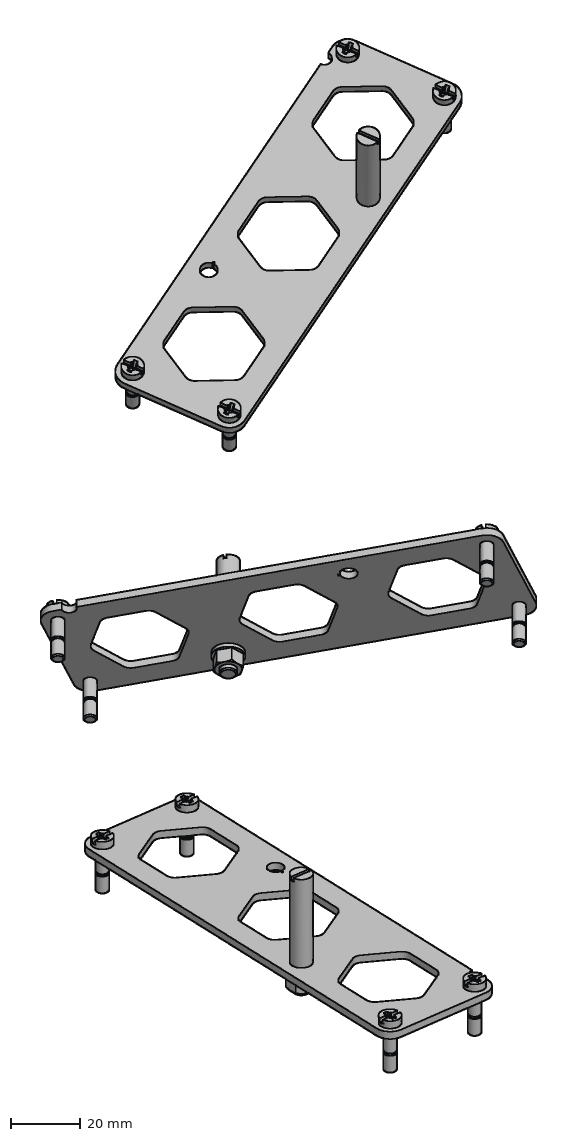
import cadquery as cq
import math

plate_width = 42.0
plate_length = 140.0
plate_thickness = 2.5
corner_radius = 5.0

window_across_flats = 26.3
window_corner_radius = 3.1
window_pitch = 45.1

notch_radius = 2.2
notch_from_end = 10.0

post_x = 14.0
post_y = window_pitch / 2
post_diameter = 6.9
post_height = 30.0
post_slot_width = 1.0
post_slot_depth = 1.3
free_hole_diameter = 5.2
keyway_width = 0.4
keyway_reach = 3.2

washer_diameter = 10.0
washer_thickness = 1.3
nut_across_flats = 8.0
nut_bottom_depth = 8.4
nut_chamfer = 0.4
stud_diameter = 5.3
stud_depth = 10.1
stud_chamfer = 0.4

screw_inset = 5.0
head_diameter = 6.7
head_height = 2.5
head_slot_width = 1.3
head_slot_depth = 1.4
shank_diameter = 4.0
shank_depth = 16.1
shank_chamfer = 0.4
neck_diameter = 3.6
neck_depth = 9.4
neck_length = 0.7

recess_depth = 2.1
recess_length = 4.2
recess_arm_width = 1.3
recess_bottom_length = 2.0
recess_bottom_width = 0.8
recess_core_width = 2.1
recess_core_bottom_width = 1.3


def cylinder(diameter, bottom, top):
    return cq.Workplane("XY").workplane(offset=bottom).circle(diameter / 2).extrude(top - bottom)


def hexagon_prism(across_flats, bottom, top):
    """Hexagonal prism with two corners along Y and two flats across X."""
    across_corners = across_flats / math.cos(math.pi / 6)
    prism = cq.Workplane("XY").workplane(offset=bottom).polygon(6, across_corners).extrude(top - bottom)
    return prism.rotate((0, 0, 0), (0, 0, 1), 90)


def driver_slot(length, width, depth, top):
    """Straight screwdriver slot along X, cut down from the given top level."""
    return cq.Workplane("XY").workplane(offset=top).rect(length, width).extrude(-depth)


def make_plate():
    plate = cq.Workplane("XY").workplane(offset=-plate_thickness).rect(plate_width, plate_length)
    plate = plate.extrude(plate_thickness).edges("|Z").fillet(corner_radius)

    window = hexagon_prism(window_across_flats, -plate_thickness, 0)
    window = window.edges("|Z").fillet(window_corner_radius)
    for row in (-1, 0, 1):
        plate = plate.cut(window.translate((0, row * window_pitch, 0)))

    notch = cylinder(2 * notch_radius, -plate_thickness, 0)
    plate = plate.cut(notch.translate((-plate_width / 2, plate_length / 2 - notch_from_end, 0)))

    free_hole = cylinder(free_hole_diameter, -plate_thickness, 0)
    keyway = cq.Workplane("XY").center(0, keyway_reach / 2).rect(keyway_width, keyway_reach)
    free_hole = free_hole.union(keyway.extrude(-plate_thickness))
    return plate.cut(free_hole.translate((-post_x, -post_y, 0)))


def make_post():
    """Slotted post with its washer, nut and stud end, on the Z axis."""
    washer_bottom = -plate_thickness - washer_thickness
    post = cylinder(post_diameter, -plate_thickness, post_height)
    post = post.cut(driver_slot(post_diameter, post_slot_width, post_slot_depth, post_height))
    stud = cylinder(stud_diameter, -stud_depth, 0).faces("<Z").chamfer(stud_chamfer)
    washer = cylinder(washer_diameter, washer_bottom, -plate_thickness)

    nut = hexagon_prism(nut_across_flats, -nut_bottom_depth, washer_bottom)
    nut_across_corners = nut_across_flats / math.cos(math.pi / 6)
    corner_overhang = (nut_across_corners - nut_across_flats) / 2
    turned_blank = cylinder(nut_across_corners, -nut_bottom_depth, washer_bottom)
    turned_blank = turned_blank.faces("<Z").chamfer(nut_chamfer, corner_overhang)
    nut = nut.intersect(turned_blank)
    return post.union(stud).union(washer).union(nut)


def make_cross_recess():
    top = cq.Workplane("XY").workplane(offset=head_height)
    arm = top.rect(recess_arm_width, recess_length)
    arm = arm.workplane(offset=-recess_depth).rect(recess_bottom_width, recess_bottom_length).loft()
    core = top.rect(recess_core_width, recess_core_width)
    core = core.workplane(offset=-recess_depth).rect(recess_core_bottom_width, recess_core_bottom_width)
    core = core.loft()
    return arm.union(arm.rotate((0, 0, 0), (0, 0, 1), 90)).union(core)


def make_screw():
    """Slotted cross-recess screw with a necked shank, on the Z axis."""
    head = cylinder(head_diameter, 0, head_height)
    head = head.cut(driver_slot(head_diameter, head_slot_width, head_slot_depth, head_height))
    head = head.cut(make_cross_recess())

    upper_shank = cylinder(shank_diameter, -neck_depth, 0)
    neck = cylinder(neck_diameter, -neck_depth - neck_length, -neck_depth)
    lower_shank = cylinder(shank_diameter, -shank_depth, -neck_depth - neck_length)
    lower_shank = lower_shank.faces("<Z").chamfer(shank_chamfer)
    return head.union(upper_shank).union(neck).union(lower_shank)


result = make_plate().union(make_post().translate((post_x, post_y, 0)))

screw = make_screw()
screw_x = plate_width / 2 - screw_inset
screw_y = plate_length / 2 - screw_inset
for side in (-1, 1):
    for end in (-1, 1):
        result = result.union(screw.translate((side * screw_x, end * screw_y, 0)))